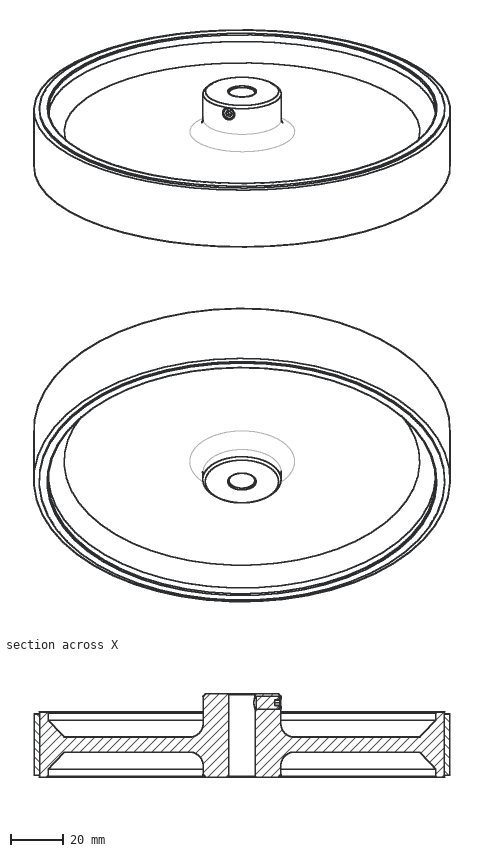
import cadquery as cq
import math

overall_height = 32.0
rim_width = 25.0
rim_radius = 77.5
dish_chamfer = 0.5
dish_radius = 74.0
dish_wall_depth = 3.2
floor_radius = 68.0
web_thickness = 5.9
floor_z = (rim_width + web_thickness) / 2
boss_radius = 15.0
boss_chamfer = 1.0
boss_fillet = 5.1
bore_radius = 5.0
bore_chamfer = 0.5

tyre_radius = 79.6
tyre_width = 23.5
tyre_base_z = (rim_width - tyre_width) / 2

screw_radius = 2.4
screw_x = -0.5
screw_z = 28.5
screw_recess = 0.5
screw_tip_gap = 0.5
socket_across_flats = 2.0
socket_depth = 1.9
screw_edge_chamfer = 0.3
screw_length = boss_radius - screw_recess - bore_radius - screw_tip_gap


def radial_cylinder(radius, start_radius, end_radius):
    """Cylinder at the screw height, between two distances on the -Y side."""
    return (
        cq.Workplane("XZ", origin=(screw_x, -start_radius, screw_z))
        .circle(radius)
        .extrude(end_radius - start_radius)
    )


def make_dish():
    """Round recess above the web, flared at the rim wall."""
    return (
        cq.Workplane("XZ")
        .moveTo(0, rim_width)
        .lineTo(dish_radius + dish_chamfer, rim_width)
        .lineTo(dish_radius, rim_width - dish_chamfer)
        .lineTo(dish_radius, rim_width - dish_wall_depth)
        .lineTo(floor_radius, floor_z)
        .lineTo(0, floor_z)
        .close()
        .revolve(360, (0, 0, 0), (0, 1, 0))
    )


def boss_foot(z):
    """Selector for the circle where the boss meets the web at height z."""
    half_box = boss_radius + boss_fillet
    margin = web_thickness / 4
    return cq.selectors.BoxSelector(
        (-half_box, -half_box, z - margin),
        (half_box, half_box, z + margin),
        boundingbox=True,
    )


def make_wheel():
    upper_dish = make_dish()
    lower_dish = upper_dish.mirror("XY", (0, 0, rim_width / 2))
    disc = cq.Workplane("XY").circle(rim_radius).extrude(rim_width).cut(upper_dish).cut(lower_dish)
    boss = (
        cq.Workplane("XY")
        .circle(boss_radius)
        .extrude(overall_height)
        .faces("<Z or >Z")
        .chamfer(boss_chamfer)
    )
    body = disc.union(boss)
    for web_face_z in (floor_z, floor_z - web_thickness):
        body = body.edges(boss_foot(web_face_z)).fillet(boss_fillet)
    bore = (
        cq.Workplane("XZ")
        .lineTo(bore_radius + bore_chamfer, 0)
        .lineTo(bore_radius, bore_chamfer)
        .lineTo(bore_radius, overall_height - bore_chamfer)
        .lineTo(bore_radius + bore_chamfer, overall_height)
        .lineTo(0, overall_height)
        .close()
        .revolve(360, (0, 0, 0), (0, 1, 0))
    )
    screw_hole = radial_cylinder(screw_radius, 0, 2 * boss_radius)
    return body.cut(bore).cut(screw_hole)


def make_tyre():
    return (
        cq.Workplane("XY", origin=(0, 0, tyre_base_z))
        .circle(tyre_radius)
        .circle(rim_radius)
        .extrude(tyre_width)
    )


def make_set_screw():
    tip_radius = bore_radius + screw_tip_gap
    screw = radial_cylinder(screw_radius, tip_radius, tip_radius + screw_length)
    screw = screw.faces("<Y").chamfer(screw_edge_chamfer)
    socket_across_corners = socket_across_flats / math.cos(math.radians(30))
    socket = (
        cq.Workplane("XZ", origin=(screw_x, screw_recess - boss_radius, screw_z))
        .polygon(6, socket_across_corners)
        .extrude(-socket_depth)
    )
    return screw.cut(socket)


wheel = make_wheel()
tyre = make_tyre()
set_screw = make_set_screw()

result = cq.Compound.makeCompound([wheel.val(), tyre.val(), set_screw.val()])